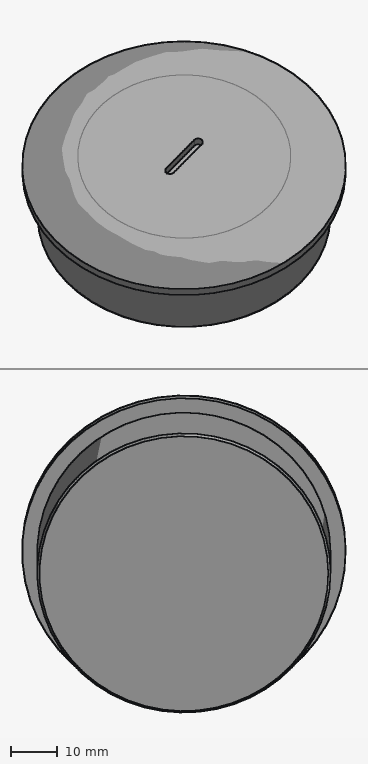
import cadquery as cq
import math

total_height = 20.0
flange_radius = 69.5 / 2
body_radius = 63.0 / 2

flange_bottom = 15.0
rim_thickness = 2.0
dome_radius = 25.0
dome_base = flange_bottom + rim_thickness
dome_height = total_height - dome_base

bottom_chamfer = 0.5

slot_length = 12.0
slot_width = 2.0
slot_depth = 2.0

dome_centre_z = total_height - dome_radius
dome_span = math.sqrt(dome_radius**2 - (dome_radius - dome_height) ** 2)
flat_radius = flange_radius - dome_span


def dome_midpoint():
    """Point halfway along the dome arc, as (radius, height)."""
    half_angle = math.asin(dome_span / dome_radius) / 2
    radius = flat_radius + dome_radius * math.sin(half_angle)
    height = dome_centre_z + dome_radius * math.cos(half_angle)
    return radius, height


def make_cap():
    """Plug body, flange and domed top revolved about Z."""
    profile = (
        cq.Workplane("XZ")
        .moveTo(0, 0)
        .lineTo(body_radius - bottom_chamfer, 0)
        .lineTo(body_radius, bottom_chamfer)
        .lineTo(body_radius, flange_bottom)
        .lineTo(flange_radius, flange_bottom)
        .lineTo(flange_radius, dome_base)
        .threePointArc(dome_midpoint(), (flat_radius, total_height))
        .lineTo(0, total_height)
        .close()
    )
    return profile.revolve(360, (0, 0, 0), (0, 1, 0))


def make_slot():
    """Round-ended blind slot, cut down from the flat top."""
    return (
        cq.Workplane("XY")
        .workplane(offset=total_height - slot_depth)
        .slot2D(slot_length, slot_width, 90)
        .extrude(slot_depth)
    )


result = make_cap().cut(make_slot())